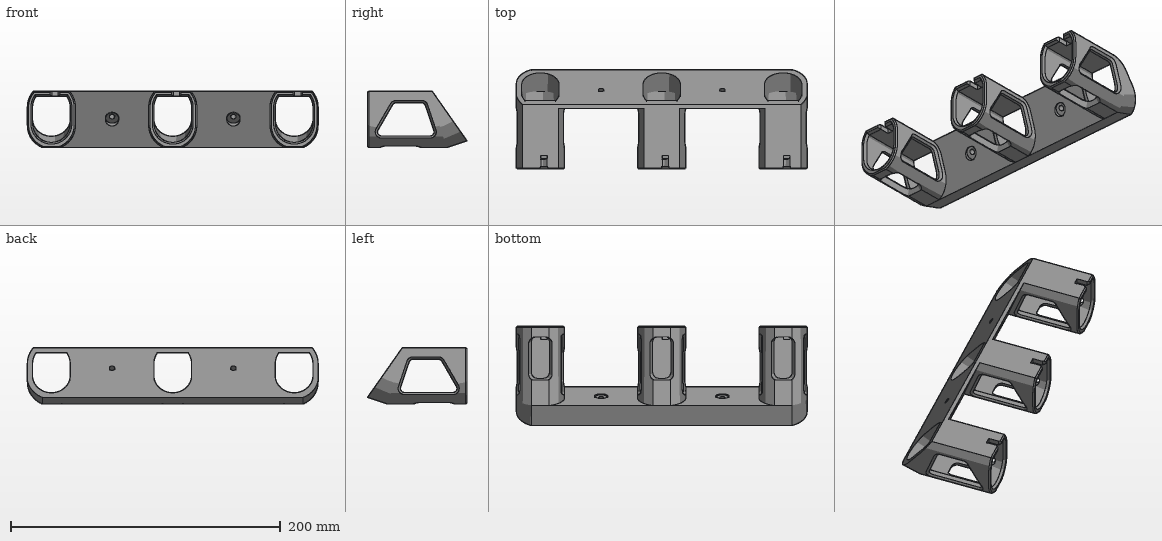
import cadquery as cq
import math

pitch = 90.0
holder_count = 3
holder_width = 35.8
height = 42.0
wall = 4.0
row_width = (holder_count - 1) * pitch + holder_width
holder_x = [(i - (holder_count - 1) / 2) * pitch for i in range(holder_count)]

outer_radius = holder_width / 2
outer_lower_center_z = 16.7
upper_center_z = 30.0

bore_width = holder_width - 2 * wall
bore_radius = bore_width / 2
bore_flat_half = 1.0
bore_lower_center_z = wall + math.sqrt(bore_radius**2 - bore_flat_half**2)

bend_angle = 18.5
bend_floor_y = 59.0
wall_angle = 35.0
top_length = 48.0
bend_tan = math.tan(math.radians(bend_angle))

rim_bevel = 1.0
flare_width = 1.3
flare_depth = 2.0

notch_width = 4.6
notch_length = 9.8
notch_offset = 2.7

window_low = 8.7
window_high = 33.3
window_front_low = 5.4
window_rear_low = 50.5
window_front_angle = 30.0
window_corner = 3.0
window_bevel = 1.8

slot_front = 8.3
slot_rear = 40.0
slot_width = 18.6
slot_corner = 4.8
slot_side_slope = 0.45
slot_end_slope = 0.3

screw_x = [(a + b) / 2 for a, b in zip(holder_x, holder_x[1:])]
screw_z = 21.0
head_diameter = 10.0
head_depth = 2.3
screw_diameter = 4.0
screw_offset = 0.8

reach = 150.0
block_size = 2 * row_width
tolerance = 1e-3


def half_space_behind(y, z, lean):
    """Everything behind the plane through (y, z) that leans `lean` degrees forward with height."""
    block = cq.Workplane("XY").box(block_size, block_size, block_size)
    block = block.translate((0, block_size / 2, 0))
    return block.rotate((0, 0, 0), (1, 0, 0), lean).translate((0, y, z))


behind_bend = half_space_behind(bend_floor_y, 0, bend_angle)
behind_wall = half_space_behind(top_length, height, wall_angle)


def lower_half(width, radius, center_z, floor):
    """Open path: left side, round shoulder, flat floor, round shoulder, right side."""
    side = width / 2
    arc_x = side - radius
    angle = math.asin((center_z - floor) / radius)
    floor_x = arc_x + radius * math.cos(angle)
    middle_x = arc_x + radius * math.cos(angle / 2)
    middle_z = center_z - radius * math.sin(angle / 2)
    return (
        cq.Workplane("XZ")
        .moveTo(-side, center_z)
        .threePointArc((-middle_x, middle_z), (-floor_x, floor))
        .lineTo(floor_x, floor)
        .threePointArc((middle_x, middle_z), (side, center_z))
    )


def straight_prism(width, radius, center_z, floor, top):
    """The full outline extruded straight back from the front."""
    side = width / 2
    arc_x = side - radius
    angle = math.asin((top - upper_center_z) / radius)
    top_x = arc_x + radius * math.cos(angle)
    middle_x = arc_x + radius * math.cos(angle / 2)
    middle_z = upper_center_z + radius * math.sin(angle / 2)
    return (
        lower_half(width, radius, center_z, floor)
        .lineTo(side, upper_center_z)
        .threePointArc((middle_x, middle_z), (top_x, top))
        .lineTo(-top_x, top)
        .threePointArc((-middle_x, middle_z), (-side, upper_center_z))
        .close()
        .extrude(-reach)
    )


def bent_channel(width, radius, center_z, floor):
    """The lower half of an outline, swept square to the bend plane and tall enough to be open."""
    side = width / 2
    trough = (
        lower_half(width, radius, center_z, floor)
        .lineTo(side, 2 * height)
        .lineTo(-side, 2 * height)
        .close()
        .extrude(-reach)
    )
    section = trough.intersect(behind_bend).faces(f"<(0,1,{bend_tan})").val()
    angle = math.radians(bend_angle)
    sweep = cq.Vector(0, reach * math.cos(angle), reach * math.sin(angle))
    return cq.Workplane(cq.Solid.extrudeLinear(section, sweep))


def front_part(width, radius, center_z, floor, top):
    """The straight stretch of an outline, up to the bend plane."""
    return straight_prism(width, radius, center_z, floor, top).cut(behind_bend)


def rear_part(width, radius, center_z, floor, top):
    """The stretch of an outline behind the bend plane."""
    channel = bent_channel(width, radius, center_z, floor)
    return straight_prism(width, radius, center_z, floor, top).intersect(channel)


def notch():
    """Cutter open to the front, its mouth widened by the flare."""
    half = notch_width / 2
    return (
        cq.Workplane("XY", origin=(notch_offset, 0, height - 1.5 * wall))
        .moveTo(-half - flare_width, 0)
        .lineTo(half + flare_width, 0)
        .lineTo(half, flare_depth)
        .lineTo(half, notch_length)
        .lineTo(-half, notch_length)
        .lineTo(-half, flare_depth)
        .close()
        .extrude(2 * wall)
    )


def side_windows():
    """One trapezoidal bar through both sides of a holder."""
    rise = window_high - window_low
    front_high = window_front_low + rise * math.tan(math.radians(window_front_angle))
    rear_high = window_rear_low - rise * bend_tan
    return (
        cq.Workplane("YZ")
        .moveTo(window_front_low, window_low)
        .lineTo(window_rear_low, window_low)
        .lineTo(rear_high, window_high)
        .lineTo(front_high, window_high)
        .close()
        .extrude(holder_width, both=True)
        .edges("|X")
        .fillet(window_corner)
    )


def floor_slot():
    """Tapered cutter from just under the floor to above the bore bottom."""
    low_z = -wall / 4
    high_z = 1.75 * wall
    length = slot_rear - slot_front
    low_y = (slot_front + slot_rear) / 2 - slot_end_slope * low_z
    low_width = slot_width - 2 * slot_side_slope * low_z
    high_width = slot_width - 2 * slot_side_slope * high_z
    return (
        cq.Workplane("XY", origin=(0, low_y, low_z))
        .rect(low_width, length)
        .workplane(offset=high_z - low_z)
        .center(0, -slot_end_slope * (high_z - low_z))
        .rect(high_width, length)
        .loft(ruled=True)
        .edges("not #Z")
        .fillet(slot_corner)
    )


def outer_rim(body, opening):
    """Edges of `body` where `opening` meets the outer round-sided surface."""
    opening_surface = opening.val().Shells()[0]
    edges = []
    for edge in body.edges().vals():
        middle = edge.positionAt(0.5)
        center_z = min(max(middle.z, outer_lower_center_z), upper_center_z)
        outside = math.hypot(middle.x, middle.z - center_z) > outer_radius - tolerance
        gap = cq.Vertex.makeVertex(*middle.toTuple()).distance(opening_surface)
        if outside and gap < tolerance:
            edges.append(edge)
    return edges


def holder_front():
    """Straight tube of one holder with its rim, notch, windows and slot."""
    tube = front_part(holder_width, outer_radius, outer_lower_center_z, 0, height)
    bore = front_part(bore_width, bore_radius, bore_lower_center_z, wall, height - wall)
    body = tube.cut(bore)

    outside_edges = body.faces("<Y").val().outerWire().Edges()
    body = body.newObject(outside_edges).chamfer(rim_bevel)
    bore_edges = body.faces("<Y").val().innerWires()[0].Edges()
    body = body.newObject(bore_edges).chamfer(flare_width, flare_depth)

    windows = side_windows()
    body = body.cut(windows)
    body = body.newObject(outer_rim(body, windows)).chamfer(window_bevel)

    return body.cut(notch()).cut(floor_slot())


def wall_screw():
    """Head recess and screw hole, running back from the bend plane square to the wall plane."""
    recess = cq.Workplane("XZ").circle(head_diameter / 2).extrude(head_diameter, both=True)
    recess = recess.translate((0, head_depth - head_diameter, 0))
    hole = cq.Workplane("XZ").center(0, screw_offset).circle(screw_diameter / 2).extrude(-reach)
    face_y = bend_floor_y - screw_z * bend_tan
    cutter = recess.union(hole).rotate((0, 0, 0), (1, 0, 0), wall_angle)
    return cutter.translate((0, face_y, screw_z))


rear_bore = rear_part(bore_width, bore_radius, bore_lower_center_z, wall, height - wall)
result = rear_part(row_width, outer_radius, outer_lower_center_z, 0, height)
for x in holder_x:
    result = result.cut(rear_bore.translate((x, 0, 0)))

holder = holder_front()
for x in holder_x:
    result = result.union(holder.translate((x, 0, 0)))

result = result.cut(behind_wall)

screw = wall_screw()
for x in screw_x:
    result = result.cut(screw.translate((x, 0, 0)))